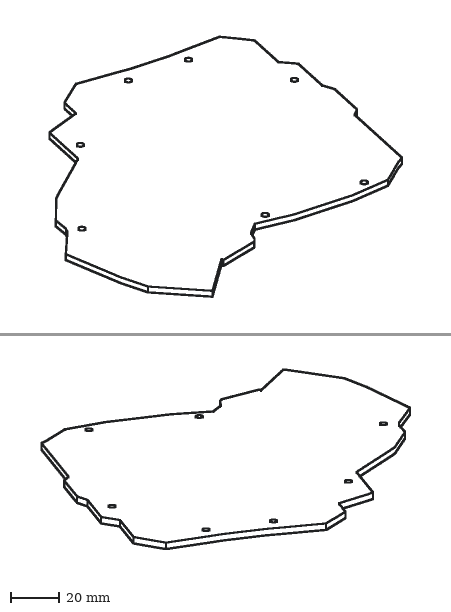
import cadquery as cq

thickness = 3.0
hole_diameter = 3.0

outline = [
    (0.0, 139.2),
    (5.5, 145.6),
    (9.8, 150.2),
    (28.9, 150.2),
    (33.3, 155.5),
    (34.3, 156.5),
    (53.4, 156.5),
    (58.3, 159.5),
    (76.4, 159.5),
    (79.3, 156.5),
    (117.4, 156.5),
    (119.2, 153.8),
    (128.6, 142.8),
    (131.0, 124.5),
    (131.0, 96.3),
    (128.8, 78.7),
    (133.8, 73.8),
    (138.4, 72.8),
    (140.2, 71.5),
    (145.6, 53.4),
    (144.5, 53.2),
    (163.2, 37.5),
    (146.7, 16.5),
    (135.0, 10.5),
    (108.2, 0.0),
    (94.0, 9.3),
    (91.7, 10.0),
    (84.2, 9.6),
    (70.0, 18.5),
    (68.0, 20.4),
    (49.0, 41.6),
    (26.0, 41.6),
    (24.8, 44.2),
    (19.1, 58.6),
    (9.8, 58.6),
    (5.7, 63.3),
    (0.0, 70.0),
    (0.7, 79.3),
    (1.3, 89.5),
    (1.8, 95.2),
    (1.8, 114.0),
    (1.3, 120.0),
    (0.7, 129.8),
]

hole_centres = [
    (43.9, 148.9),
    (125.2, 133.5),
    (8.3, 119.3),
    (9.0, 90.0),
    (125.2, 85.9),
    (40.5, 47.8),
    (95.2, 15.7),
]


def make_plate():
    """Flat plate with a straight-sided, irregular outline."""
    return cq.Workplane("XY").polyline(outline).close().extrude(thickness)


def drill_holes(plate):
    """Mounting holes straight through the plate."""
    drills = (
        cq.Workplane("XY")
        .pushPoints(hole_centres)
        .circle(hole_diameter / 2)
        .extrude(thickness)
    )
    return plate.cut(drills)


result = drill_holes(make_plate())